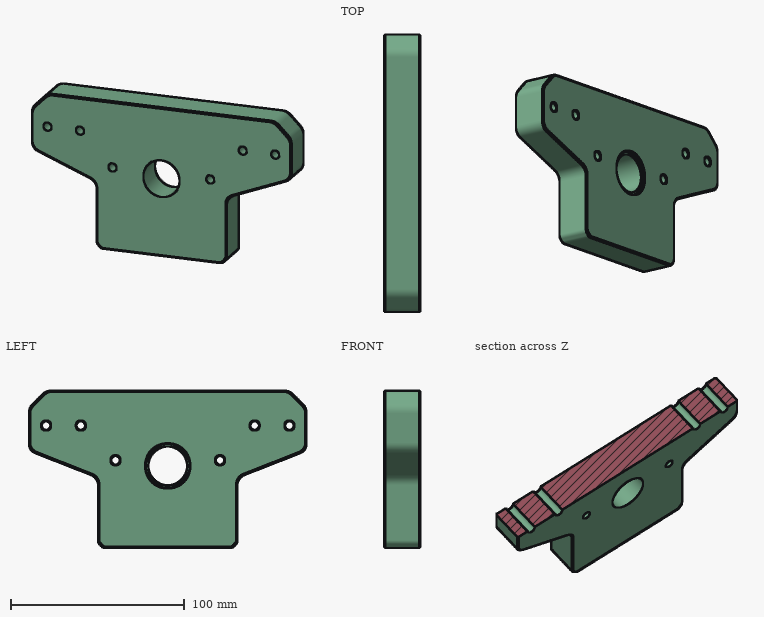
import cadquery as cq

thickness = 21.0
width = 159.8
height = 90.6
edge_chamfer = 0.8

stem_width = 80.2
shoulder_cut = 10.0
arm_tip_depth = 34.5
arm_root_depth = 50.2
shoulder_radius = 6.9
arm_radius = 6.0
foot_cut = 3.0
foot_radius = 3.0

hole_chamfer = 0.5

bore_diameter = 22.2
counterbore_diameter = 25.2
counterbore_depth = 1.6
bore_depth_from_top = 43.3

small_hole_diameter = 5.0
upper_row_depth = 20.1
lower_row_depth = 40.1
hole_positions = [
    (70.0, upper_row_depth),
    (50.0, upper_row_depth),
    (30.0, lower_row_depth),
]

top_z = height / 2
bottom_z = -height / 2
near_face_x = -thickness / 2
half_width = width / 2
half_stem = stem_width / 2


def make_plate():
    """Extruded T outline with rounded corners and chamfered rims."""
    right_side = [
        (half_stem - foot_cut, bottom_z),
        (half_stem, bottom_z + foot_cut),
        (half_stem, top_z - arm_root_depth),
        (half_width, top_z - arm_tip_depth),
        (half_width, top_z - shoulder_cut),
        (half_width - shoulder_cut, top_z),
    ]
    left_side = [(-y, z) for y, z in reversed(right_side)]
    plate = (
        cq.Workplane("YZ", origin=(near_face_x, 0, 0))
        .polyline(right_side + left_side)
        .close()
        .extrude(thickness)
    )

    corner_radii = [foot_radius] * 2 + [arm_radius] * 2 + [shoulder_radius] * 2
    for (y, z), radius in zip(right_side, corner_radii):
        for side in (1, -1):
            corner = cq.selectors.NearestToPointSelector((0, side * y, z))
            plate = plate.edges("|X").edges(corner).fillet(radius)

    return plate.faces("<X or >X").edges().chamfer(edge_chamfer)


def make_chamfered_cylinder(diameter, depth, y, z):
    """Cutting cylinder that enters from the -X face and widens at its mouth."""
    cylinder = cq.Workplane("YZ", origin=(near_face_x, y, z)).circle(diameter / 2).extrude(depth)
    mouth = (
        cq.Workplane("YZ", origin=(near_face_x, y, z))
        .circle(diameter / 2 + hole_chamfer)
        .workplane(offset=hole_chamfer)
        .circle(diameter / 2)
        .loft()
    )
    return cylinder.union(mouth)


def make_bore():
    """Through bore with its counterbore."""
    z = top_z - bore_depth_from_top
    bore = cq.Workplane("YZ", origin=(near_face_x, 0, z)).circle(bore_diameter / 2).extrude(thickness)
    counterbore = make_chamfered_cylinder(counterbore_diameter, counterbore_depth, 0, z)
    return bore.union(counterbore)


result = make_plate().cut(make_bore())
for offset, depth in hole_positions:
    for side in (1, -1):
        hole = make_chamfered_cylinder(small_hole_diameter, thickness, side * offset, top_z - depth)
        result = result.cut(hole)